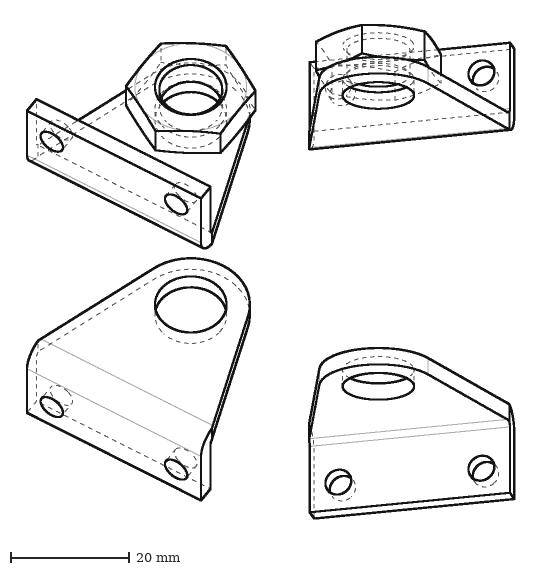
import cadquery as cq
import math

overall_height = 82.0

sheet = 3.0
inner_bend = 1.0
outer_bend = inner_bend + sheet
bracket_width = 35.0
flange_height = 16.0
eye_distance = 24.0
eye_radius = 10.0
eye_hole_diameter = 12.1
taper_start = 3.4

screw_hole_diameter = 4.5
screw_hole_spacing = 25.0
screw_hole_edge = 5.0

nut_across_flats = 19.0
nut_face_diameter = 18.9
nut_across_corners = nut_across_flats / math.cos(math.radians(30))
nut_height = 6.0
nut_bore_diameter = 10.65
nut_mouth_diameter = 12.1
nut_corner_chamfer_angle = 15.0


def bent_strip():
    """L-shaped strip of constant width, plate underside on Z = 0 and flange pointing up."""
    plate_end = eye_distance + eye_radius
    return (
        cq.Workplane("YZ")
        .moveTo(plate_end, 0)
        .lineTo(outer_bend, 0)
        .radiusArc((0, outer_bend), outer_bend)
        .lineTo(0, flange_height)
        .lineTo(sheet, flange_height)
        .lineTo(sheet, outer_bend)
        .radiusArc((outer_bend, sheet), -inner_bend)
        .lineTo(plate_end, sheet)
        .close()
        .extrude(bracket_width / 2, both=True)
    )


def plate_outline():
    """Plan outline of the bracket: straight foot, then sides tangent to the round eye."""
    half_width = bracket_width / 2
    corner_rise = eye_distance - taper_start
    corner_distance = math.hypot(half_width, corner_rise)
    tangent_angle = math.acos(eye_radius / corner_distance) - math.atan2(corner_rise, half_width)
    tangent_x = eye_radius * math.cos(tangent_angle)
    tangent_y = eye_distance + eye_radius * math.sin(tangent_angle)
    return (
        cq.Workplane("XY")
        .moveTo(-half_width, 0)
        .lineTo(half_width, 0)
        .lineTo(half_width, taper_start)
        .lineTo(tangent_x, tangent_y)
        .threePointArc((0, eye_distance + eye_radius), (-tangent_x, tangent_y))
        .lineTo(-half_width, taper_start)
        .close()
        .extrude(flange_height)
    )


def screw_holes():
    """Two cutters through the flange, along Y."""
    hole_z = flange_height - screw_hole_edge
    return (
        cq.Workplane("XZ")
        .pushPoints([(side * screw_hole_spacing / 2, hole_z) for side in (-1, 1)])
        .circle(screw_hole_diameter / 2)
        .extrude(-sheet)
    )


def eye_hole():
    """Cutter through the plate, along Z."""
    return cq.Workplane("XY").center(0, eye_distance).circle(eye_hole_diameter / 2).extrude(sheet)


def make_bracket():
    """Bracket with the plate underside on Z = 0 and the flange pointing up."""
    return bent_strip().intersect(plate_outline()).cut(screw_holes()).cut(eye_hole())


def corner_chamfer_envelope():
    """Turned shape that trims the hexagon corners at both ends of the nut."""
    face_radius = nut_face_diameter / 2
    corner_radius = nut_across_corners / 2
    drop = (corner_radius - face_radius) * math.tan(math.radians(nut_corner_chamfer_angle))
    return (
        cq.Workplane("XZ")
        .moveTo(0, 0)
        .lineTo(face_radius, 0)
        .lineTo(corner_radius, drop)
        .lineTo(corner_radius, nut_height - drop)
        .lineTo(face_radius, nut_height)
        .lineTo(0, nut_height)
        .close()
        .revolve(360, (0, 0, 0), (0, 1, 0))
    )


def make_nut():
    """Nut standing on Z = 0, two corners on the Y axis, bore countersunk at both ends."""
    hexagon = (
        cq.Workplane("XY")
        .polygon(6, nut_across_corners)
        .extrude(nut_height)
        .rotate((0, 0, 0), (0, 0, 1), 90)
    )
    mouth_chamfer = (nut_mouth_diameter - nut_bore_diameter) / 2
    return (
        hexagon.intersect(corner_chamfer_envelope())
        .faces(">Z")
        .workplane(origin=(0, 0, nut_height))
        .hole(nut_bore_diameter)
        .edges(cq.selectors.RadiusNthSelector(0))
        .chamfer(mouth_chamfer)
    )


upper_plate_z = overall_height / 2 - flange_height
brackets = []
for mirrored in (False, True):
    bracket = make_bracket().translate((0, 0, upper_plate_z))
    if mirrored:
        bracket = bracket.mirror("XY")
    brackets.append(bracket)

nut = make_nut().translate((0, eye_distance, upper_plate_z + sheet))

result = cq.Compound.makeCompound([*[bracket.val() for bracket in brackets], nut.val()])